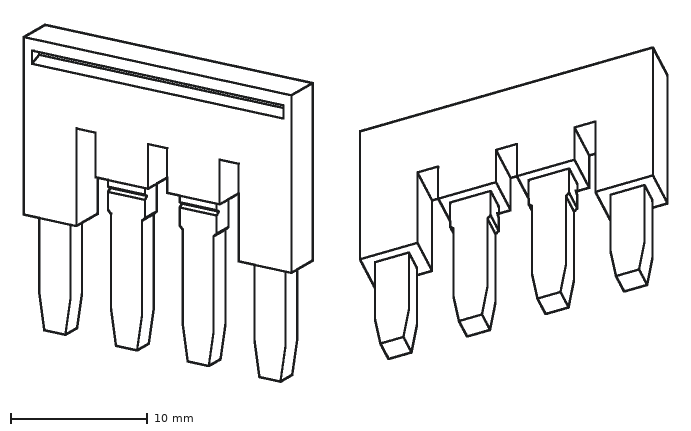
import cadquery as cq

width = 23.1
depth = 3.0
height = 22.98
comb_bottom = 9.03
inner_bottom = 13.2
gap_top = 16.7
gap_width = 1.65

pin_count = 4
pin_pitch = 6.2
pin_width = 2.68
pin_depth = 1.66
tip_width = 1.82
taper_height = 2.82
pin_embed = 0.46

shoulder_width = 3.19
shoulder_bottom = 10.53
shoulder_chamfer = (shoulder_width - pin_width) / 2
notch_top = 12.38
notch_bottom = 11.97
notch_root = (notch_top + notch_bottom) / 2
notch_depth = 0.3

groove_margin = 0.7
groove_top = height - 0.92
groove_back_top = groove_top - 0.3
groove_bottom = height - 1.96
groove_back_bottom = groove_bottom + 0.37
groove_depth = 1.05

front_y = -depth / 2
pin_front_y = -pin_depth / 2
pin_centres = [(i - (pin_count - 1) / 2) * pin_pitch for i in range(pin_count)]
inner_centres = pin_centres[1:-1]


def box(x, z_low, z_high, x_size, y_size):
    """Box centred on x and on the part's mid-plane, between two heights."""
    return cq.Workplane("XY").box(x_size, y_size, z_high - z_low, centered=(True, True, False)).translate(
        (x, 0, z_low)
    )


def groove_cutter(length, section):
    """Cutter of the given (y, z) section, running along X and centred on the YZ plane."""
    return cq.Workplane("YZ").polyline(section).close().extrude(length / 2, both=True)


def make_body():
    body = box(0, comb_bottom, height, width, depth)
    inner_span = inner_centres[-1] - inner_centres[0] + pin_pitch
    body = body.cut(box(0, comb_bottom, inner_bottom, inner_span, depth))
    for left, right in zip(pin_centres, pin_centres[1:]):
        body = body.cut(box((left + right) / 2, comb_bottom, gap_top, gap_width, depth))
    groove_length = width - 2 * groove_margin
    groove_back_y = front_y + groove_depth
    section = [
        (front_y, groove_top),
        (groove_back_y, groove_back_top),
        (groove_back_y, groove_back_bottom),
        (front_y, groove_bottom),
    ]
    return body.cut(groove_cutter(groove_length, section))


def make_pin(x, body_bottom):
    """Straight pin with a tapered tip."""
    top = body_bottom + pin_embed
    right_side = [(tip_width / 2, 0), (pin_width / 2, taper_height), (pin_width / 2, top)]
    left_side = [(-px, pz) for px, pz in reversed(right_side)]
    outline = cq.Workplane("XZ").polyline(right_side + left_side).close()
    return outline.extrude(pin_depth / 2, both=True).translate((x, 0, 0))


def make_inner_pin(x):
    """Pin with a wider, notched shoulder below the body."""
    shoulder = box(x, shoulder_bottom - shoulder_chamfer, inner_bottom + pin_embed, shoulder_width, pin_depth)
    shoulder = shoulder.faces("<Z").edges("|Y").chamfer(shoulder_chamfer)
    section = [
        (pin_front_y, notch_top),
        (pin_front_y + notch_depth, notch_root),
        (pin_front_y, notch_bottom),
    ]
    notch = groove_cutter(shoulder_width, section).translate((x, 0, 0))
    return make_pin(x, inner_bottom).union(shoulder).cut(notch)


result = make_body()
for centre in pin_centres:
    if centre in inner_centres:
        pin = make_inner_pin(centre)
    else:
        pin = make_pin(centre, comb_bottom)
    result = result.union(pin)